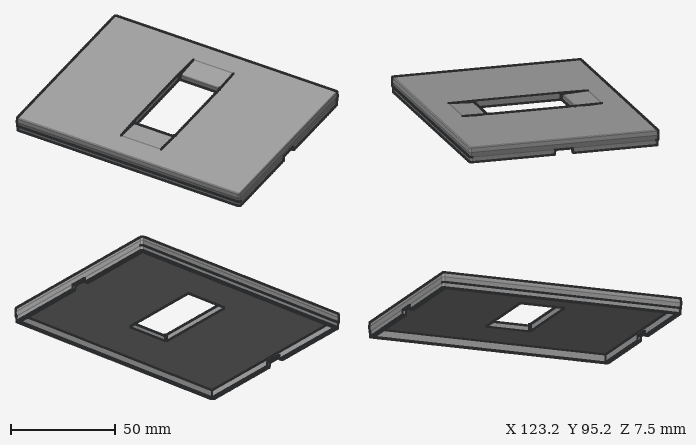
import cadquery as cq
import math

length = 123.2
width = 95.2
height = 7.5
corner_radius = 1.1
seam_height = 5.0
skirt_height = 2.6
skirt_step = 0.2
side_lean = 0.27
top_edge_radius = 0.5

wall_thickness = 2.0
ceiling_height = 4.0

window_width = 22.8
window_length = 43.8
window_corner_bevel = 0.6
pad_width = 22.0
pad_outer_end = 34.9
pad_drop = 0.6
pad_lip_radius = 0.31

notch_depth = 2.3
notch_top_width = 8.7
notch_mouth_width = 9.4


def leaning_band(start_height, rise):
    """Band that starts at the seam outline and leans inward over a signed rise."""
    lean_angle = math.degrees(math.atan(side_lean / abs(rise)))
    outline = (
        cq.Sketch()
        .rect(length, width)
        .vertices()
        .fillet(corner_radius)
    )
    return (
        cq.Workplane("XY", origin=(0, 0, start_height))
        .placeSketch(outline)
        .extrude(rise, taper=lean_angle)
    )


def outer_body():
    upper_band = leaning_band(seam_height, height - seam_height)
    upper_band = upper_band.faces(">Z").edges().fillet(top_edge_radius)
    middle_band = leaning_band(seam_height, skirt_height - seam_height)
    skirt_inset = side_lean + skirt_step
    skirt = (
        cq.Workplane("XY")
        .rect(length - 2 * side_lean, width - 2 * skirt_inset)
        .extrude(skirt_height)
        .edges("|Z")
        .fillet(corner_radius)
    )
    return upper_band.union(middle_band).union(skirt)


def underside_hollow():
    total_wall = 2 * wall_thickness
    return cq.Workplane("XY").rect(length - total_wall, width - total_wall).extrude(ceiling_height)


def window():
    return (
        cq.Workplane("XY")
        .rect(window_width, window_length)
        .extrude(height)
        .edges("|Z")
        .chamfer(window_corner_bevel)
    )


def pad_recess():
    """Wedge above the +Y pad, with side walls that spread from pad width to window width."""
    pad_run = pad_outer_end - window_length / 2
    slope = math.degrees(math.atan(pad_drop / pad_run))
    spread = (window_width - pad_width) / 2
    section = [
        (-pad_width / 2, 0),
        (pad_width / 2, 0),
        (pad_width / 2 + spread, pad_drop),
        (-pad_width / 2 - spread, pad_drop),
    ]
    shallow_end = (0, pad_outer_end, height)
    return (
        cq.Workplane("XZ", origin=shallow_end)
        .polyline(section)
        .close()
        .extrude(math.hypot(pad_run, pad_drop))
        .rotate(shallow_end, (1, pad_outer_end, height), slope)
    )


def notches():
    """Drafted slot along X that opens the skirt walls at both ends."""
    section = [
        (-notch_mouth_width / 2, 0),
        (notch_mouth_width / 2, 0),
        (notch_top_width / 2, notch_depth),
        (-notch_top_width / 2, notch_depth),
    ]
    return cq.Workplane("YZ").polyline(section).close().extrude(length / 2, both=True)


def pad_lips():
    """Selector for the edges where the two pads meet the window ends."""
    lip_height = height - pad_drop
    lip_zone = cq.selectors.BoxSelector(
        (-pad_width / 4, -pad_outer_end, lip_height - pad_lip_radius),
        (pad_width / 4, pad_outer_end, lip_height + pad_lip_radius),
    )
    return lip_zone & cq.selectors.ParallelDirSelector(cq.Vector(1, 0, 0))


half_turn = 180

result = outer_body().cut(underside_hollow()).cut(window())
for turn in (0, half_turn):
    result = result.cut(pad_recess().rotate((0, 0, 0), (0, 0, 1), turn))
result = result.edges(pad_lips()).fillet(pad_lip_radius)
result = result.cut(notches())